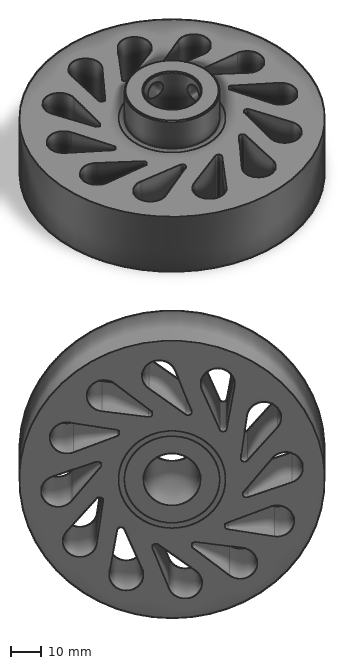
import cadquery as cq
import math

wheel_diameter = 101.6
wheel_height = 24.1

sleeve_diameter = 35.6

hub_diameter = 31.7
hub_height = 36.1
hub_bore_diameter = 19.0
outer_edge_chamfer = 0.4
bore_edge_chamfer = 0.4
screw_hole_diameter = 6.4
screw_hole_height = 29.9
screw_hole_directions = [(-1, 0, 0), (0, 1, 0)]

window_count = 12
head_radius = 5.7
head_distance = 38.1
head_angle = 71.3
tip_radius = 1.2
tip_distance = 25.3
tip_angle = 90.0


def polar(distance, angle):
    """Point at a distance from the wheel axis, at an angle in degrees."""
    return cq.Vector(
        distance * math.cos(math.radians(angle)),
        distance * math.sin(math.radians(angle)),
    )


def make_window():
    """Teardrop prism as tall as the wheel."""
    head = polar(head_distance, head_angle)
    tip = polar(tip_distance, tip_angle)
    axis = head - tip
    axis_angle = math.degrees(math.atan2(axis.y, axis.x))
    tangent_angle = math.degrees(math.acos((tip_radius - head_radius) / axis.Length))

    tip_left = tip + polar(tip_radius, axis_angle + tangent_angle)
    tip_end = tip + polar(tip_radius, axis_angle + 180)
    tip_right = tip + polar(tip_radius, axis_angle - tangent_angle)
    head_left = head + polar(head_radius, axis_angle + tangent_angle)
    head_end = head + polar(head_radius, axis_angle)
    head_right = head + polar(head_radius, axis_angle - tangent_angle)
    return (
        cq.Workplane("XY")
        .moveTo(tip_right.x, tip_right.y)
        .lineTo(head_right.x, head_right.y)
        .threePointArc((head_end.x, head_end.y), (head_left.x, head_left.y))
        .lineTo(tip_left.x, tip_left.y)
        .threePointArc((tip_end.x, tip_end.y), (tip_right.x, tip_right.y))
        .close()
        .extrude(wheel_height)
    )


def make_ring(outer_diameter, inner_diameter, height):
    """Upright ring standing on the base plane."""
    return (
        cq.Workplane("XY")
        .circle(outer_diameter / 2)
        .circle(inner_diameter / 2)
        .extrude(height)
    )


def make_wheel():
    """Disc with a central hole and a circle of teardrop windows."""
    wheel = make_ring(wheel_diameter, sleeve_diameter, wheel_height)
    window = make_window()
    for index in range(window_count):
        turn = index * 360 / window_count
        wheel = wheel.cut(window.rotate((0, 0, 0), (0, 0, 1), turn))
    return wheel


def make_sleeve():
    """Thin ring that fills the gap between the wheel and the hub."""
    return make_ring(sleeve_diameter, hub_diameter, wheel_height)


def make_hub():
    """Bored hub with chamfered top edges and two set screw holes at a right angle."""
    hub = make_ring(hub_diameter, hub_bore_diameter, hub_height)
    outer_edge = cq.selectors.RadiusNthSelector(1)
    bore_edge = cq.selectors.RadiusNthSelector(0)
    hub = hub.faces(">Z").edges(outer_edge).chamfer(outer_edge_chamfer)
    hub = hub.faces(">Z").edges(bore_edge).chamfer(bore_edge_chamfer)
    for direction in screw_hole_directions:
        screw_hole = cq.Solid.makeCylinder(
            screw_hole_diameter / 2,
            hub_diameter / 2,
            cq.Vector(0, 0, screw_hole_height),
            cq.Vector(*direction),
        )
        hub = hub.cut(cq.Workplane(screw_hole))
    return hub


wheel = make_wheel()
sleeve = make_sleeve()
hub = make_hub()

result = cq.Compound.makeCompound([wheel.val(), sleeve.val(), hub.val()])